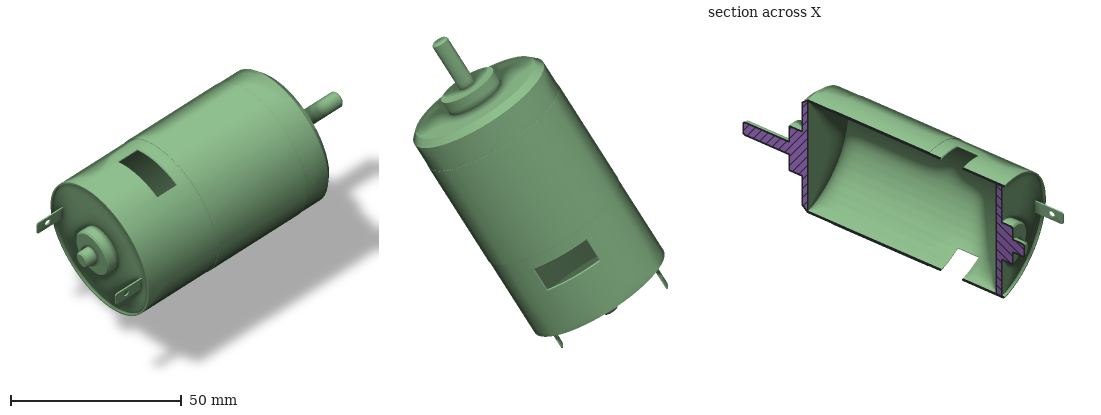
import cadquery as cq


can_length = 70.5
can_radius = 22.4
can_front_chamfer = 2.0
wall = 0.5
front_wall = 2.0
inner_radius = can_radius - wall

band_height = 0.15
band_radius = can_radius + band_height
band_start = 26.2
band_length = 34.0

front_boss_radius = 8.9
front_boss_length = 4.5
shaft_radius = 2.6
shaft_length = 16.0
shaft_chamfer = 0.5

slot_width = 17.8
slot_length = 7.3
slot_centre = 18.3
slot_chamfer = 0.25

cap_recess = 0.9
cap_thickness = 2.0
rear_boss_radius = 7.5
rear_boss_end = 3.0
rear_boss_chamfer = 0.5
stub_end = 6.9

terminal_spacing = 35.8
terminal_thickness = 0.4
terminal_width = 4.6
terminal_end = 9.0
terminal_corner_chamfer = 0.5
terminal_hole_diameter = 2.0
terminal_hole_from_rim = 5.0


def cylinder_along_y(radius, y_start, y_end):
    """Cylinder on the motor axis from y_start forward to y_end."""
    base = cq.Workplane("XZ", origin=(0, y_start, 0))
    return base.circle(radius).extrude(y_start - y_end)


def cut_vent_slots(solid_can):
    """Cut both vent slots through the still solid can and chamfer their outer edges."""
    can_diameter = 2 * can_radius
    slots = cq.Workplane("XY").box(slot_width, slot_length, can_diameter).translate((0, slot_centre, 0))
    slotted = solid_can.cut(slots)
    for side in (-1, 1):
        lower_corner = (-slot_width, slot_centre - slot_length, side * can_radius / 2)
        upper_corner = (slot_width, slot_centre + slot_length, side * can_diameter)
        mouth_edges = cq.selectors.BoxSelector(lower_corner, upper_corner)
        slotted = slotted.edges(mouth_edges).chamfer(slot_chamfer)
    return slotted


def make_can():
    boss_front = can_length + front_boss_length
    shaft_tip = boss_front + shaft_length
    shell = cylinder_along_y(can_radius, 0, can_length).faces(">Y").chamfer(can_front_chamfer)
    band = cylinder_along_y(band_radius, band_start, band_start + band_length)
    cavity = cylinder_along_y(inner_radius, 0, can_length - front_wall)
    boss = cylinder_along_y(front_boss_radius, can_length, boss_front)
    shaft = cylinder_along_y(shaft_radius, boss_front, shaft_tip).faces(">Y").chamfer(shaft_chamfer)
    return cut_vent_slots(shell.union(band)).cut(cavity).union(boss).union(shaft)


def make_terminal(x_centre):
    """Flat blade with a cross hole, standing on the end cap."""
    length = terminal_end + cap_recess
    blade = (
        cq.Workplane("XY")
        .box(terminal_thickness, length, terminal_width)
        .faces("<Y")
        .edges("|X")
        .chamfer(terminal_corner_chamfer)
        .translate((x_centre, cap_recess - length / 2, 0))
    )
    hole = (
        cq.Workplane("YZ", origin=(x_centre, -terminal_hole_from_rim, 0))
        .circle(terminal_hole_diameter / 2)
        .extrude(terminal_thickness, both=True)
    )
    return blade.cut(hole)


def make_end_cap():
    cap = cylinder_along_y(inner_radius, cap_recess, cap_recess + cap_thickness)
    boss = cylinder_along_y(rear_boss_radius, -rear_boss_end, cap_recess)
    stub = cylinder_along_y(shaft_radius, -stub_end, -rear_boss_end)
    cap = cap.union(boss.faces("<Y").chamfer(rear_boss_chamfer))
    cap = cap.union(stub.faces("<Y").chamfer(shaft_chamfer))
    for side in (-1, 1):
        cap = cap.union(make_terminal(side * terminal_spacing / 2))
    return cap


can = make_can()
end_cap = make_end_cap()

result = cq.Compound.makeCompound([can.val(), end_cap.val()])